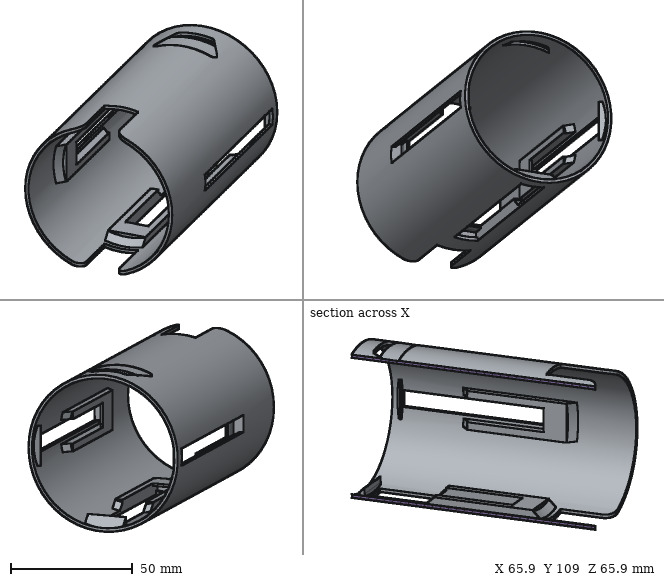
import cadquery as cq
import math

length = 109
outer_diameter = 65.9
outer_radius = outer_diameter / 2
wall = 1.5
inner_radius = outer_radius - wall
front_y = -length / 2
rear_y = length / 2
bury = 0.3

notch_width = 15.0
notch_depth = 23.5
notch_corner_radius = 4.8

slot_front_y = -20.2
side_slot_rear_y = 49.7
side_slot_width = 7.2
bottom_slot_front_y = -18.5
bottom_slot_rear_y = 48.7
bottom_slot_width = 10.2

pad_width = 16.8
pad_inner = 27.0
pad_front_y = -25.3
pad_rear_y = 19.2
ramp_start_radius = 28.6
ramp_length = 3.3

channel_width = 10.2
tongue_rear_y = -14.9
tongue_bend_y = -17.9
tongue_outer = 28.3
tongue_taper = 0.2

stop_setback = 0.1
stop_front_y = side_slot_rear_y + stop_setback
stop_crest = 0.1
stop_lean_start = 29.4
side_stop_inner = 29.2
side_stop_lean = 0.1
bottom_stop_inner = pad_inner
bottom_stop_lean = 0.2

window_front_y = 33.5
window_rear_y = 46.4
window_front_width = 31.0
window_side_angle = 30
window_corner_radius = 2.0
tab_rear_y = 42.3
tab_recess = 0.1


def box(x_range, y_range, z_range):
    """Box spanning the three given (low, high) ranges."""
    sizes = [high - low for low, high in (x_range, y_range, z_range)]
    corner = (x_range[0], y_range[0], z_range[0])
    return cq.Workplane("XY").box(*sizes, centered=False).translate(corner)


def revolved(profile):
    """Solid turned about the Y axis from (radius, y) points."""
    return cq.Workplane("XY").polyline(profile).close().revolve(360, (0, 0, 0), (0, 1, 0))


def tube(inner, outer, y_range):
    """Ring between two radii, or a cylinder when the inner radius is zero."""
    low, high = y_range
    return revolved([(inner, low), (outer, low), (outer, high), (inner, high)])


def centered(width):
    """Range of the given width about zero."""
    return (-width / 2, width / 2)


def turned_to_sides(shape_on_bottom):
    """Copies of a bottom feature turned to the two sides."""
    return [shape_on_bottom.rotate((0, 0, 0), (0, 1, 0), angle) for angle in (-90, 90)]


def front_notch():
    """Notch through top and bottom, with rounded corners where it meets the front edge."""
    half = notch_width / 2
    mouth = half + notch_corner_radius
    bulge = notch_corner_radius * math.sqrt(0.5)
    corner_y = front_y + notch_corner_radius
    return (
        cq.Workplane("XY", origin=(0, 0, -outer_radius))
        .moveTo(-mouth, front_y)
        .threePointArc((-mouth + bulge, corner_y - bulge), (-half, corner_y))
        .lineTo(-half, front_y + notch_depth)
        .lineTo(half, front_y + notch_depth)
        .lineTo(half, corner_y)
        .threePointArc((mouth - bulge, corner_y - bulge), (mouth, front_y))
        .close()
        .extrude(2 * outer_radius)
    )


def wall_slot(width, front, rear):
    """Slot cutter through the bottom of the wall."""
    return box(centered(width), (front, rear), (-outer_radius - wall, -pad_inner))


def window():
    """Trapezoid cutter through the top of the wall, wide side to the front."""
    side_run = (window_rear_y - window_front_y) * math.tan(math.radians(window_side_angle))
    front_half = window_front_width / 2
    rear_half = front_half - side_run
    outline = [
        (-front_half, window_front_y),
        (front_half, window_front_y),
        (rear_half, window_rear_y),
        (-rear_half, window_rear_y),
    ]
    return (
        cq.Workplane("XY").polyline(outline).close().extrude(outer_radius + wall)
        .edges("|Z").fillet(window_corner_radius)
    )


def window_tab():
    """Tab filling the front part of the window, set slightly below the outer surface."""
    return window().intersect(tube(inner_radius, outer_radius - tab_recess, (window_front_y, tab_rear_y)))


def guide_pad():
    """Pad on the bottom wall: flat inside, conical ramps at both ends, channel with a tongue."""
    buried_radius = inner_radius + bury
    envelope = revolved([
        (0, pad_front_y),
        (ramp_start_radius, pad_front_y),
        (inner_radius, pad_front_y - ramp_length),
        (buried_radius, pad_front_y - ramp_length),
        (buried_radius, pad_rear_y + ramp_length),
        (inner_radius, pad_rear_y + ramp_length),
        (ramp_start_radius, pad_rear_y),
        (0, pad_rear_y),
    ])
    block = box(centered(pad_width), (front_y, rear_y), (-outer_radius, -pad_inner))
    channel_profile = [
        (slot_front_y, -outer_radius),
        (slot_front_y, -tongue_outer),
        (tongue_bend_y, -tongue_outer),
        (tongue_rear_y, -tongue_outer + tongue_taper),
        (tongue_rear_y, 0),
        (rear_y, 0),
        (rear_y, -outer_radius),
    ]
    channel = (
        cq.Workplane("YZ").polyline(channel_profile).close()
        .extrude(channel_width / 2, both=True)
    )
    return block.intersect(envelope).cut(channel)


def stop_pad(inner, lean):
    """Pad on the bottom wall at the rear end: steep front face, 45 degree ramp down to the rear."""
    crest_y = stop_front_y + lean
    ramp_y = crest_y + stop_crest
    ramp_end_y = ramp_y + inner_radius - inner
    buried = inner_radius + bury
    profile = [
        (stop_front_y, -buried),
        (stop_front_y, -stop_lean_start),
        (crest_y, -inner),
        (ramp_y, -inner),
        (ramp_end_y, -inner_radius),
        (ramp_end_y, -buried),
    ]
    block = cq.Workplane("YZ").polyline(profile).close().extrude(pad_width / 2, both=True)
    return block.intersect(tube(0, buried, (front_y, rear_y)))


sleeve = tube(inner_radius, outer_radius, (front_y, rear_y))
sleeve = sleeve.cut(front_notch()).cut(window())
sleeve = sleeve.cut(wall_slot(bottom_slot_width, bottom_slot_front_y, bottom_slot_rear_y))
for slot in turned_to_sides(wall_slot(side_slot_width, slot_front_y, side_slot_rear_y)):
    sleeve = sleeve.cut(slot)

sleeve = sleeve.union(window_tab())
side_stop = stop_pad(side_stop_inner, side_stop_lean)
sleeve = sleeve.union(guide_pad()).union(stop_pad(bottom_stop_inner, bottom_stop_lean))
for pad in turned_to_sides(guide_pad()) + turned_to_sides(side_stop):
    sleeve = sleeve.union(pad)

result = sleeve